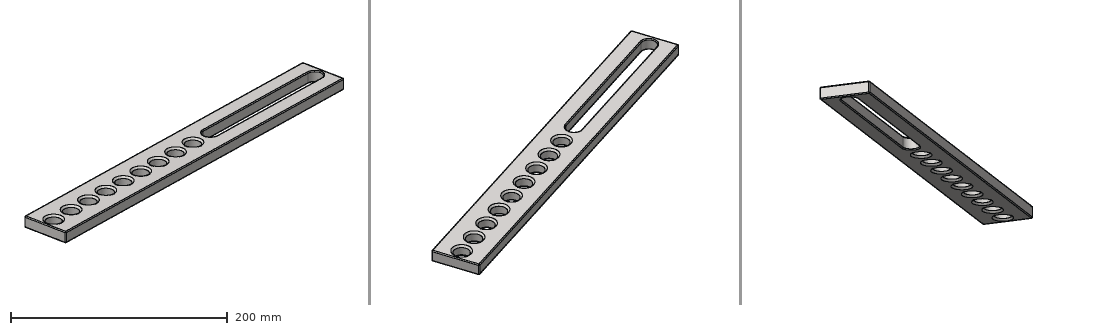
import cadquery as cq

length = 400.0
width = 50.0
thickness = 12.0
edge_chamfer = 1.0

hole_count = 9
hole_pitch = length / 16
hole_diameter = 16.0
hole_chamfer = 2.0
first_hole_y = -length / 2 + hole_pitch / 2

slot_width = 16.0
slot_chamfer = 1.0
slot_inner_y = first_hole_y + hole_count * hole_pitch
slot_outer_y = length / 2 - hole_pitch / 2


def make_bar():
    """Rectangular bar with every outer edge chamfered."""
    return cq.Workplane("XY").box(width, length, thickness).edges().chamfer(edge_chamfer)


def cut_holes(body):
    """Row of through holes, chamfered at both faces."""
    centers = [(0, first_hole_y + i * hole_pitch) for i in range(hole_count)]
    cutters = cq.Workplane("XY").pushPoints(centers).circle(hole_diameter / 2).extrude(thickness, both=True)
    body = body.cut(cutters)
    return body.faces("<Z or >Z").edges("%CIRCLE").chamfer(hole_chamfer)


def cut_slot(body):
    """Round-ended through slot, chamfered at both faces."""
    slot_span = slot_outer_y - slot_inner_y
    cutter = (
        cq.Workplane("XY")
        .center(0, (slot_inner_y + slot_outer_y) / 2)
        .slot2D(slot_span + slot_width, slot_width, 90)
        .extrude(thickness, both=True)
    )
    rim_region = cq.selectors.BoxSelector(
        (-slot_width, slot_inner_y - slot_width / 2, -thickness),
        (slot_width, slot_outer_y + slot_width / 2, thickness),
    )
    return body.cut(cutter).faces("<Z or >Z").edges(rim_region).chamfer(slot_chamfer)


result = cut_slot(cut_holes(make_bar()))